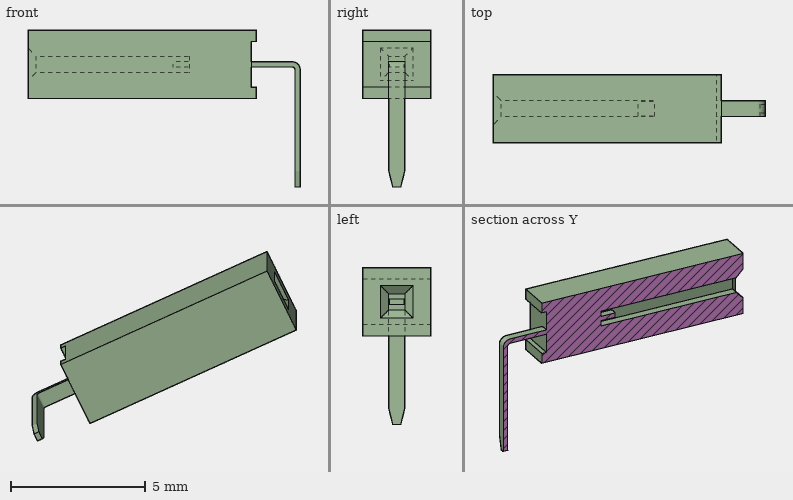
import cadquery as cq
import math

housing_length = 8.5
housing_side = 2.54

notch_depth = 0.19
lip_height = 0.43

mouth_side = 1.21
socket_side = 0.6
lead_in_depth = 0.29
socket_depth = 6.0

blade_width = 0.54
blade_length = 0.6

overall_length = 10.13
overall_height = 5.85
strip_thickness = 0.2
strip_width = 0.6
outer_bend_radius = 0.3
inner_bend_radius = outer_bend_radius - strip_thickness
tip_width = 0.3
tip_length = 0.6

notch_floor_x = housing_length - notch_depth
terminal_bottom_z = housing_side / 2 - overall_height


def make_bar(start_x, length, width, height):
    """Rectangular bar centred on the X axis."""
    start = cq.Workplane("XY", origin=(start_x, 0, 0))
    return start.box(length, width, height, centered=(False, True, True))


def make_housing():
    """Square bar with a notch running across its rear face along Y."""
    notch_height = housing_side - 2 * lip_height
    housing = make_bar(0, housing_length, housing_side, housing_side)
    return housing.cut(make_bar(notch_floor_x, notch_depth, housing_side, notch_height))


def make_socket():
    """Volume removed from the housing by the socket."""
    lead_in = (
        cq.Workplane("YZ")
        .rect(mouth_side, mouth_side)
        .workplane(offset=lead_in_depth)
        .rect(socket_side, socket_side)
        .loft()
    )
    straight_depth = socket_depth - lead_in_depth
    return lead_in.union(make_bar(lead_in_depth, straight_depth, socket_side, socket_side))


def make_blade():
    """Flat blade inside the socket, ending at its floor."""
    return make_bar(socket_depth - blade_length, blade_length, blade_width, strip_thickness)


def make_bent_strip():
    """Constant-width strip, drawn as its side outline in XZ."""
    top_z = strip_thickness / 2
    bend_center_x = overall_length - outer_bend_radius
    bend_center_z = top_z - outer_bend_radius
    outer_mid = outer_bend_radius * math.sqrt(0.5)
    inner_mid = inner_bend_radius * math.sqrt(0.5)
    return (
        cq.Workplane("XZ")
        .moveTo(notch_floor_x, top_z)
        .lineTo(bend_center_x, top_z)
        .threePointArc(
            (bend_center_x + outer_mid, bend_center_z + outer_mid),
            (overall_length, bend_center_z),
        )
        .lineTo(overall_length, terminal_bottom_z)
        .lineTo(overall_length - strip_thickness, terminal_bottom_z)
        .lineTo(overall_length - strip_thickness, bend_center_z)
        .threePointArc(
            (bend_center_x + inner_mid, bend_center_z + inner_mid),
            (bend_center_x, -top_z),
        )
        .lineTo(notch_floor_x, -top_z)
        .close()
        .extrude(strip_width / 2, both=True)
    )


def make_tip_trim(side):
    """Wedge beside the tapered tip; side is 1 for +Y and -1 for -Y."""
    return (
        cq.Workplane("YZ", origin=(overall_length - strip_thickness, 0, terminal_bottom_z))
        .moveTo(side * strip_width / 2, 0)
        .lineTo(side * strip_width / 2, tip_length)
        .lineTo(side * tip_width / 2, 0)
        .close()
        .extrude(strip_thickness)
    )


def make_terminal():
    """Bent strip with its lower end tapered from both sides."""
    terminal = make_bent_strip()
    for side in (-1, 1):
        terminal = terminal.cut(make_tip_trim(side))
    return terminal


result = make_housing().cut(make_socket()).union(make_blade()).union(make_terminal())